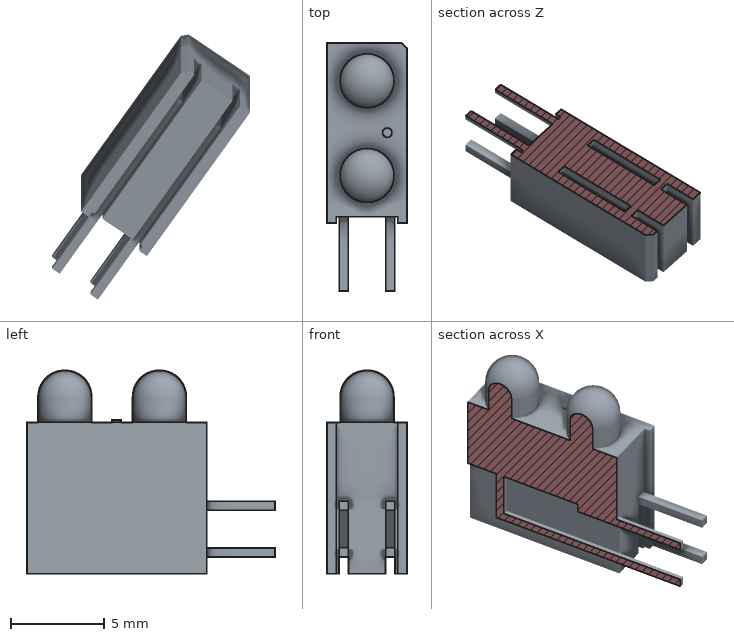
import cadquery as cq
import math

housing_width = 4.3
housing_depth = 9.67
housing_height = 8.13
corner_chamfer = 0.3

lip_width = 0.5
recess_depth = 0.33

led_radius = 1.45
led_dome_center_height = 1.35
led_pitch = 5.08
rear_led_inset = 2.04
rear_led_y = housing_depth - rear_led_inset
front_led_y = rear_led_y - led_pitch

mark_radius = 0.25
mark_height = 0.13
mark_x = 1.09
mark_inset = 4.82
mark_y = housing_depth - mark_inset

lead_size = 0.5
lead_pitch = 2.5
lead_length = 3.66
lower_lead_bottom = 0.9
upper_lead_bottom = lower_lead_bottom + lead_pitch
lead_xs = (-lead_pitch / 2, lead_pitch / 2)

slot_height = upper_lead_bottom + lead_size


def box(x_center, y_range, z_range, width):
    """Box centred on x_center that fills the given Y and Z ranges."""
    y_start, y_end = y_range
    z_start, z_end = z_range
    return (
        cq.Workplane("XY", origin=(x_center, (y_start + y_end) / 2, z_start))
        .box(width, y_end - y_start, z_end - z_start, centered=(True, True, False))
    )


def make_housing():
    """Block with a chamfered rear corner, a front recess and two lead slots."""
    depth_range = (0, housing_depth)
    height_range = (0, housing_height)
    housing = box(0, depth_range, height_range, housing_width)
    housing = housing.edges("|Z and >X and >Y").chamfer(corner_chamfer)
    recess_width = housing_width - 2 * lip_width
    housing = housing.cut(box(0, (0, recess_depth), height_range, recess_width))
    for lead_x in lead_xs:
        housing = housing.cut(box(lead_x, depth_range, (0, slot_height), lead_size))
    return housing


def make_led(center_y):
    """Cylinder with a hemispherical dome, revolved about its vertical axis."""
    arc_offset = led_radius * math.sqrt(0.5)
    return (
        cq.Workplane("XZ", origin=(0, center_y, housing_height))
        .lineTo(led_radius, 0)
        .lineTo(led_radius, led_dome_center_height)
        .threePointArc(
            (arc_offset, led_dome_center_height + arc_offset),
            (0, led_dome_center_height + led_radius),
        )
        .close()
        .revolve(360, (0, 0, 0), (0, 1, 0))
    )


def make_mark():
    """Low round pip on the top face."""
    return (
        cq.Workplane("XY", origin=(mark_x, mark_y, housing_height))
        .circle(mark_radius)
        .extrude(mark_height)
    )


def make_lead(lead_x, led_y, bottom):
    """Lead that drops from the slot roof below an LED and runs out of the front."""
    rear_y = led_y + lead_size / 2
    leg = box(lead_x, (led_y - lead_size / 2, rear_y), (bottom, slot_height), lead_size)
    run = box(lead_x, (-lead_length, rear_y), (bottom, bottom + lead_size), lead_size)
    return run.union(leg)


result = make_housing().union(make_mark())
for led_y, lead_bottom in ((rear_led_y, lower_lead_bottom), (front_led_y, upper_lead_bottom)):
    result = result.union(make_led(led_y))
    for lead_x in lead_xs:
        result = result.union(make_lead(lead_x, led_y, lead_bottom))